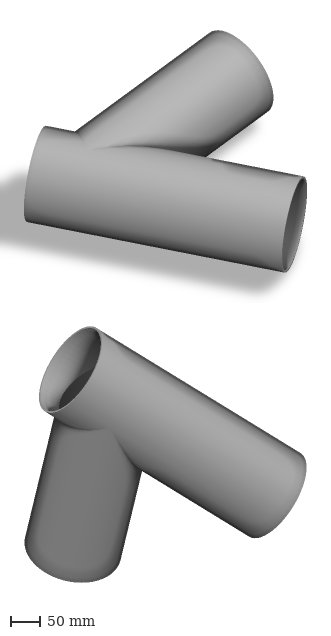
import cadquery as cq
import math

run_length = 457.0
outer_diameter = 168.2
inner_diameter = 161.5
branch_angle = 60.0
branch_length = 368.5
branch_position = 88.5

angle = math.radians(branch_angle)
run_plane = cq.Plane(origin=(0, 0, 0), xDir=(0, 1, 0), normal=(1, 0, 0))
branch_plane = cq.Plane(
    origin=(branch_position, 0, 0),
    xDir=(0, 0, 1),
    normal=(math.cos(angle), math.sin(angle), 0),
)


def wye(diameter):
    """Solid run and branch cylinders of equal diameter, joined on crossing axes."""
    run = cq.Workplane(run_plane).circle(diameter / 2).extrude(run_length)
    branch = cq.Workplane(branch_plane).circle(diameter / 2).extrude(branch_length)
    return run.union(branch)


result = wye(outer_diameter).cut(wye(inner_diameter))